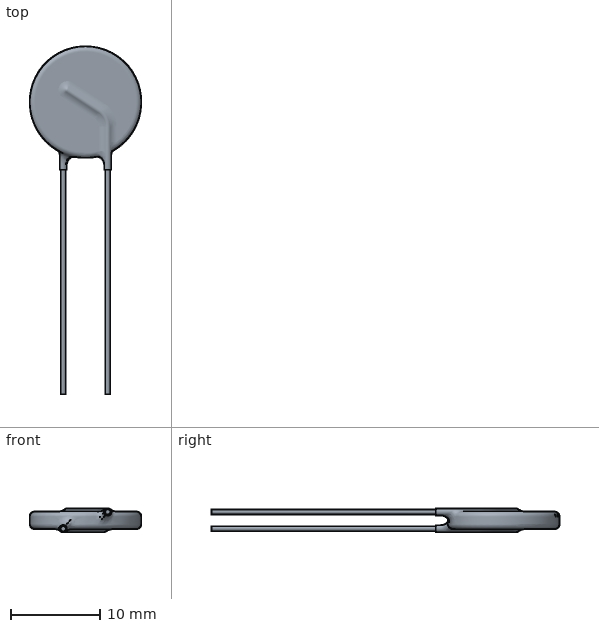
import cadquery as cq
import math

overall_length = 38.95
disc_diameter = 12.5
disc_thickness = 2.0
rim_radius = 0.6

overall_height = 2.7
lead_diameter = 0.6
lead_offset = 2.5
sleeve_diameter = 0.8
sleeve_length = 7.6

bend_start = 2.73
bend_radius = 2.1
ridge_angle = 33
ridge_end_x = -2.03
blend_radius = 1.15

disc_radius = disc_diameter / 2
face_z = disc_thickness / 2
sleeve_radius = sleeve_diameter / 2
axis_z = overall_height / 2 - sleeve_radius
lead_length = overall_length - disc_radius - sleeve_length
half_turn = 180
sides = (0, half_turn)


def turned(shape, angle):
    """Turn a shape about the Y axis."""
    return shape.rotate((0, 0, 0), (0, 1, 0), angle)


def make_disc():
    """Round disc with rounded rims, centred on the origin."""
    disc = cq.Workplane("XY").circle(disc_radius).extrude(face_z, both=True)
    return disc.edges().fillet(rim_radius)


def make_ridge():
    """Upper sleeve and ridge: a round bar along a bent path, with a ball at its far end."""
    turn = math.radians(90 - ridge_angle)
    bend_center_x = lead_offset - bend_radius

    def bend_point(angle):
        return (
            bend_center_x + bend_radius * math.cos(angle),
            bend_radius * math.sin(angle) - bend_start,
        )

    bend_end = bend_point(turn)
    slant_rise = (bend_end[0] - ridge_end_x) * math.tan(math.radians(ridge_angle))
    ridge_end = (ridge_end_x, bend_end[1] + slant_rise)

    path = (
        cq.Workplane("XY", origin=(0, 0, axis_z))
        .moveTo(lead_offset, -sleeve_length)
        .lineTo(lead_offset, -bend_start)
        .threePointArc(bend_point(turn / 2), bend_end)
        .lineTo(*ridge_end)
    )
    start = (lead_offset, -sleeve_length, axis_z)
    bar = cq.Workplane("XZ", origin=start).circle(sleeve_radius).sweep(path)
    ball = cq.Workplane("XY", origin=(*ridge_end, axis_z)).sphere(sleeve_radius)
    return bar.union(ball)


def blend_ridge(body):
    """Round the inside corner between the upper ridge and the disc."""
    reach = (disc_radius + lead_offset) / 2
    low = (-reach, -(sleeve_length + disc_radius) / 2, 0)
    high = (reach, disc_radius, (face_z + overall_height / 2) / 2)
    seam = cq.selectors.BoxSelector(low, high, boundingbox=True)
    return body.edges(seam).fillet(blend_radius)


def make_housing():
    """Coated disc with a sleeve and ridge on each face."""
    body = make_disc()
    for _ in sides:
        body = turned(blend_ridge(body.union(make_ridge())), half_turn)
    return body


def make_lead(angle):
    """Wire that butts against the sleeve's free end."""
    start = (lead_offset, -sleeve_length, axis_z)
    lead = cq.Workplane("XZ", origin=start).circle(lead_diameter / 2).extrude(lead_length)
    return turned(lead, angle)


housing = make_housing()
leads = [make_lead(angle) for angle in sides]

result = cq.Compound.makeCompound([
    housing.solids().val(),
    *[lead.solids().val() for lead in leads],
])